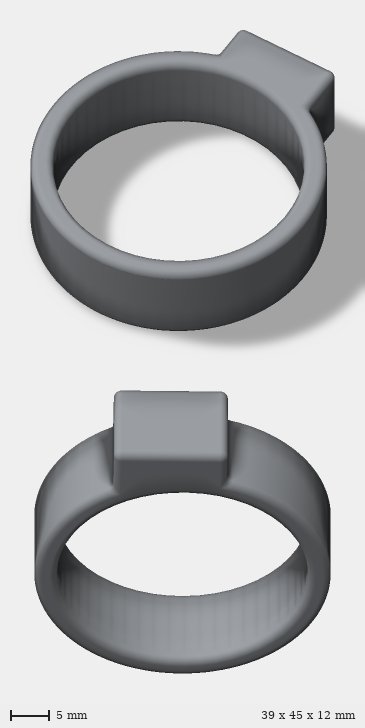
import cadquery as cq
import math

overall_length = 45.0
outer_diameter = 39.0
inner_diameter = 33.0
height = 12.0
edge_radius = 1.0
block_angle = 27.0
block_width = 15.0
block_shift = 1.9

outer_radius = outer_diameter / 2
bore_radius = inner_diameter / 2
flank_offsets = (block_shift - block_width / 2, block_shift + block_width / 2)

turn = math.radians(block_angle)
corner_centre_y = overall_length - outer_radius - edge_radius
corner_centre_shift = flank_offsets[1] - edge_radius
block_reach = (corner_centre_y - corner_centre_shift * math.sin(turn)) / math.cos(turn) + edge_radius


def build_blank():
    """Solid disc with the block standing on its rim, block along +Y."""
    disc = cq.Workplane("XY").circle(outer_radius).extrude(height)
    block = (
        cq.Workplane("XY")
        .center(block_shift, block_reach / 2)
        .rect(block_width, block_reach)
        .extrude(height)
    )
    return disc.union(block)


def round_block_corners(body):
    """Round the two upright corners at the end of the block."""
    end_corners = cq.selectors.BoxSelector(
        (flank_offsets[0] - edge_radius, block_reach - edge_radius, 0),
        (flank_offsets[1] + edge_radius, block_reach + edge_radius, height),
    )
    return body.edges("|Z").edges(end_corners).fillet(edge_radius)


def cut_bore(body):
    """Open the bore through the disc and the root of the block."""
    bore = cq.Workplane("XY").circle(bore_radius).extrude(height)
    return body.cut(bore)


def round_rims(body):
    """Round the top and bottom edges, outside and in the bore."""
    return body.faces("<Z or >Z").edges().fillet(edge_radius)


def round_roots(body):
    """Round the upright inside corners where the flanks meet the ring."""
    for offset in flank_offsets:
        root_y = math.sqrt(outer_radius**2 - offset**2)
        root = cq.selectors.NearestToPointSelector((offset, root_y, height / 2))
        body = body.edges("|Z").edges(root).fillet(edge_radius)
    return body


def build_holder():
    body = round_block_corners(build_blank())
    body = round_rims(cut_bore(body))
    body = round_roots(body)
    return body.rotate((0, 0, 0), (0, 0, 1), block_angle)


holder = build_holder()

result = cq.Compound.makeCompound([holder.val()])